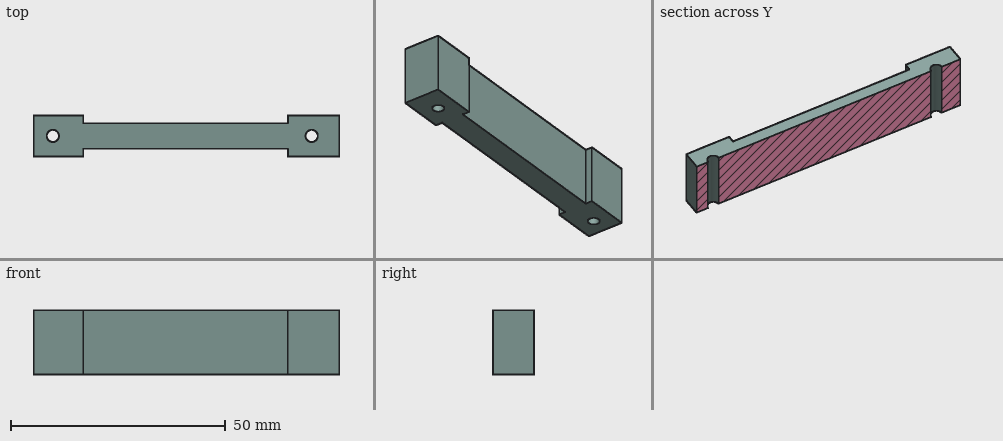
import cadquery as cq

length = 71.27
width = 9.6
height = 15.0

left_block_length = 11.6
right_block_length = 12.0
web_thickness = 6.0
web_length = length - left_block_length - right_block_length

hole_diameter = 2.8
left_hole_from_end = 4.5
hole_spacing = 60.3

left_end = -length / 2
web_start = left_end + left_block_length
right_block_start = web_start + web_length
left_hole_x = left_end + left_hole_from_end


def bar_section(start_x, section_length, thickness):
    """Full-height box starting at start_x, centred on Y and Z."""
    return (
        cq.Workplane("XY")
        .box(section_length, thickness, height)
        .translate((start_x + section_length / 2, 0, 0))
    )


def through_holes():
    """Vertical cutters for the holes in both end blocks."""
    return (
        cq.Workplane("XY")
        .workplane(offset=-height / 2)
        .pushPoints([(left_hole_x, 0), (left_hole_x + hole_spacing, 0)])
        .circle(hole_diameter / 2)
        .extrude(height)
    )


left_block = bar_section(left_end, left_block_length, width)
web = bar_section(web_start, web_length, web_thickness)
right_block = bar_section(right_block_start, right_block_length, width)

result = left_block.union(web).union(right_block).cut(through_holes())